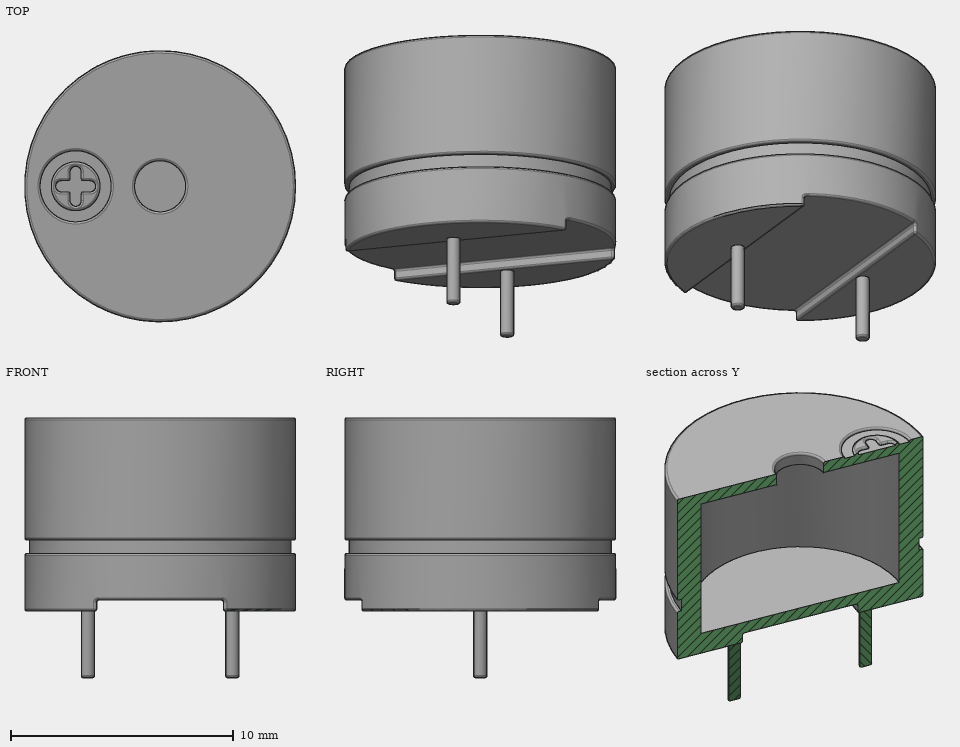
import cadquery as cq

case_diameter = 12.2
case_height = 8.7
edge_radius = 0.1

groove_diameter = 11.8
groove_bottom = 2.6
groove_top = 3.2

cavity_diameter = 9.8
roof_thickness = 0.6
floor_thickness = 0.6
sound_hole_diameter = 2.3

channel_width = 5.7
channel_depth = 0.5

mark_x = -3.8
mark_depth = 0.1
ring_outer_diameter = 3.2
ring_inner_diameter = 2.2
plus_length = 1.8
plus_arm_width = 0.5
mark_edge_radius = 0.099

pin_diameter = 0.6
pin_length = 3.0
pin_pitch = 6.5


def cylinder(diameter, bottom, top):
    """Cylinder on the Z axis between two heights."""
    return cq.Workplane("XY", origin=(0, 0, bottom)).circle(diameter / 2).extrude(top - bottom)


def make_outer_shell():
    """Solid drum with rounded rims and the groove around it."""
    lower = cylinder(case_diameter, 0, groove_bottom).faces(">Z").edges().fillet(edge_radius)
    neck = cylinder(groove_diameter, groove_bottom, groove_top)
    upper = cylinder(case_diameter, groove_top, case_height).edges("%CIRCLE").fillet(edge_radius)
    return lower.union(neck).union(upper)


def cut_channel(body):
    """Channel along Y through the underside, with every edge of it rounded."""
    channel = (
        cq.Workplane("XY")
        .box(channel_width, 2 * case_diameter, channel_depth, centered=(True, True, False))
        .edges("|Y and >Z")
        .fillet(edge_radius)
    )
    body = body.cut(channel)
    rim_zone = cq.selectors.BoxSelector(
        (-case_diameter, -case_diameter, -channel_depth),
        (case_diameter, case_diameter, channel_depth + edge_radius / 2),
    )
    ceiling_edges = body.faces("<Z").edges()
    channel_mouth = body.edges(rim_zone).edges("not |Y")
    return body.newObject(ceiling_edges.vals() + channel_mouth.vals()).fillet(edge_radius)


def cut_cavity_and_sound_hole(body):
    """Closed round cavity that opens only through the sound hole in the roof."""
    cavity_top = case_height - roof_thickness
    cavity = cylinder(cavity_diameter, channel_depth + floor_thickness, cavity_top)
    sound_hole = cylinder(sound_hole_diameter, cavity_top, case_height)
    rim = cq.selectors.RadiusNthSelector(0)
    body = body.cut(cavity).cut(sound_hole)
    return body.faces(">Z").edges(rim).fillet(edge_radius)


def cut_polarity_mark(body):
    """Ring recess and plus recess, rounded where they meet the roof."""
    floor = cq.Workplane("XY", origin=(mark_x, 0, case_height - mark_depth))
    ring = floor.circle(ring_outer_diameter / 2).circle(ring_inner_diameter / 2).extrude(mark_depth)
    plus = floor.slot2D(plus_length, plus_arm_width, 0).extrude(mark_depth)
    plus = plus.union(floor.slot2D(plus_length, plus_arm_width, 90).extrude(mark_depth))
    body = body.cut(ring).cut(plus)
    mark_zone = cq.selectors.BoxSelector(
        (mark_x - ring_outer_diameter, -ring_outer_diameter, case_height - mark_depth / 2),
        (mark_x + ring_outer_diameter / 2, ring_outer_diameter, case_height + mark_depth),
    )
    return body.edges(mark_zone).fillet(mark_edge_radius)


def make_pin(x):
    """Terminal pin hanging from the underside of a foot, rounded at the tip."""
    pin = cylinder(pin_diameter, -pin_length, 0).faces("<Z").edges().fillet(edge_radius)
    return pin.translate((x, 0, 0))


case = make_outer_shell()
case = cut_channel(case)
case = cut_cavity_and_sound_hole(case)
case = cut_polarity_mark(case)

pins = [make_pin(side * pin_pitch / 2) for side in (-1, 1)]

result = cq.Compound.makeCompound([case.val(), *[pin.val() for pin in pins]])